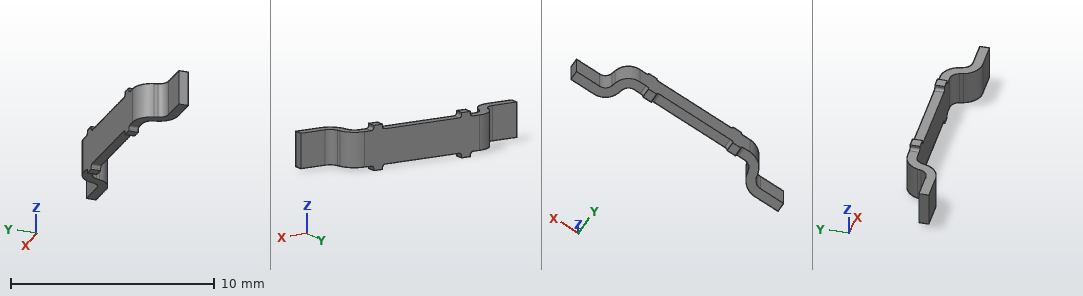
import cadquery as cq
import math

LENGTH = 12.3
DEPTH = 1.8
STRIP_WIDTH = 1.8
THICKNESS = 0.5

FOOT_FLAT = 1.38
INNER_RADIUS = 0.5
OUTER_RADIUS = INNER_RADIUS + THICKNESS
BEND_ANGLE = math.radians(75)

TAB_SPACING = 5.0
TAB_WIDTH = 0.5
TAB_HEIGHT = 0.25
TAB_FILLET = 0.15

MID_RADIUS = (INNER_RADIUS + OUTER_RADIUS) / 2
STEP = DEPTH - THICKNESS
WEB_LENGTH = (STEP - 2 * MID_RADIUS * (1 - math.cos(BEND_ANGLE))) / math.sin(BEND_ANGLE)
BEND_RUN = 2 * MID_RADIUS * math.sin(BEND_ANGLE) + WEB_LENGTH * math.cos(BEND_ANGLE)

HALF_LENGTH = LENGTH / 2
FOOT_BEND_X = -HALF_LENGTH + FOOT_FLAT
FOOT_BEND_CENTER = (FOOT_BEND_X, OUTER_RADIUS)
BRIDGE_BEND_CENTER = (FOOT_BEND_X + BEND_RUN, DEPTH - OUTER_RADIUS)


def foot_arc_point(radius, angle):
    """Point on the foot bend, turned by angle from the flat foot."""
    x, y = FOOT_BEND_CENTER
    return (x + radius * math.sin(angle), y - radius * math.cos(angle))


def bridge_arc_point(radius, angle):
    """Point on the bridge bend, turned by angle from the flat bridge."""
    x, y = BRIDGE_BEND_CENTER
    return (x - radius * math.sin(angle), y + radius * math.cos(angle))


def make_half_strip():
    """Left half of the bent strip, from the foot end to the middle plane."""
    half_angle = BEND_ANGLE / 2
    profile = (
        cq.Workplane("XY")
        .workplane(offset=-STRIP_WIDTH / 2)
        .moveTo(-HALF_LENGTH, 0)
        .lineTo(*foot_arc_point(OUTER_RADIUS, 0))
        .threePointArc(foot_arc_point(OUTER_RADIUS, half_angle), foot_arc_point(OUTER_RADIUS, BEND_ANGLE))
        .lineTo(*bridge_arc_point(INNER_RADIUS, BEND_ANGLE))
        .threePointArc(bridge_arc_point(INNER_RADIUS, half_angle), bridge_arc_point(INNER_RADIUS, 0))
        .lineTo(0, DEPTH - THICKNESS)
        .lineTo(0, DEPTH)
        .lineTo(*bridge_arc_point(OUTER_RADIUS, 0))
        .threePointArc(bridge_arc_point(OUTER_RADIUS, half_angle), bridge_arc_point(OUTER_RADIUS, BEND_ANGLE))
        .lineTo(*foot_arc_point(INNER_RADIUS, BEND_ANGLE))
        .threePointArc(foot_arc_point(INNER_RADIUS, half_angle), foot_arc_point(INNER_RADIUS, 0))
        .lineTo(-HALF_LENGTH, THICKNESS)
        .close()
    )
    return profile.extrude(STRIP_WIDTH)


def make_tab_pair(center_x):
    """Bar across the bridge whose ends form two tabs with filleted roots."""
    half_tab = TAB_WIDTH / 2
    edge_z = STRIP_WIDTH / 2
    tip_z = edge_z + TAB_HEIGHT
    upper_half = (
        cq.Workplane("XZ", origin=(center_x, DEPTH, 0))
        .moveTo(-half_tab - TAB_FILLET, 0)
        .lineTo(-half_tab - TAB_FILLET, edge_z)
        .radiusArc((-half_tab, edge_z + TAB_FILLET), -TAB_FILLET)
        .lineTo(-half_tab, tip_z)
        .lineTo(half_tab, tip_z)
        .lineTo(half_tab, edge_z + TAB_FILLET)
        .radiusArc((half_tab + TAB_FILLET, edge_z), -TAB_FILLET)
        .lineTo(half_tab + TAB_FILLET, 0)
        .close()
        .extrude(THICKNESS)
    )
    return upper_half.union(upper_half.mirror("XY"))


half_strip = make_half_strip()
result = half_strip.union(half_strip.mirror("YZ"))
for side in (-1, 1):
    result = result.union(make_tab_pair(side * TAB_SPACING / 2))
result = result.clean()